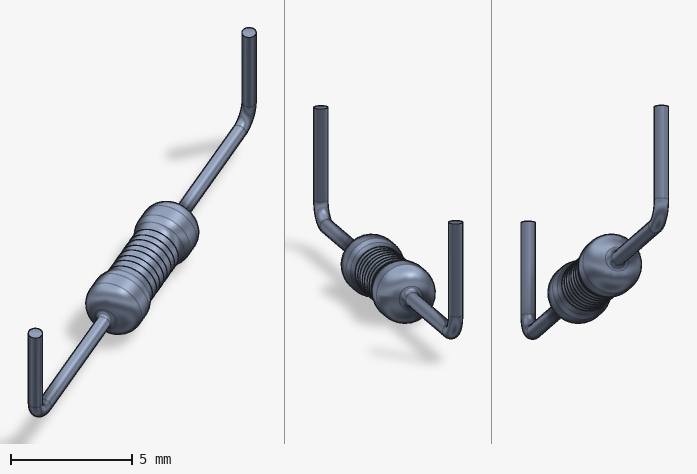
import cadquery as cq
import math

overall_length = 20.6
overall_height = 6.1

lead_diameter = 0.6
lead_radius = lead_diameter / 2
bend_radius = 1.5 * lead_diameter

head_radius = 2.5 / 2
waist_radius = 2.12 / 2
band_radius = 2.15 / 2
dome_start = 2.58
dome_radius = 0.82
head_start = 1.95
waist_end = 1.22
crease_y = (waist_end + head_start) / 2
crease_radius = 1.15
collar_end = 3.63

band_count = 4
band_width = 0.37
band_pitch = (2 * waist_end - band_width) / (band_count - 1)

lead_offset = overall_length / 2 - lead_radius
lead_top = overall_height - head_radius


def tangent_arc_radius(run, rise):
    """Radius of an arc that starts along the run and departs by rise at its end."""
    return (run**2 + rise**2) / (2 * rise)


def body_of_revolution():
    """Revolve both mirrored halves at once: waist, shoulder, head, dome and collar."""
    convex_radius = tangent_arc_radius(head_start - crease_y, head_radius - crease_radius)
    concave_radius = tangent_arc_radius(crease_y - waist_end, crease_radius - waist_radius)

    dome_center = head_radius - dome_radius
    center_gap = collar_end - dome_start
    inset = dome_center - lead_radius
    collar_radius = (center_gap**2 + inset**2 - dome_radius**2) / (2 * (dome_radius + inset))
    collar_center = lead_radius + collar_radius
    center_angle = math.atan2(center_gap, collar_center - dome_center)
    dome_end = (
        dome_center + dome_radius * math.cos(center_angle),
        dome_start + dome_radius * math.sin(center_angle),
    )

    return (
        cq.Workplane("XY")
        .moveTo(0, -collar_end)
        .lineTo(lead_radius, -collar_end)
        .radiusArc((dome_end[0], -dome_end[1]), collar_radius)
        .radiusArc((head_radius, -dome_start), -dome_radius)
        .lineTo(head_radius, -head_start)
        .radiusArc((crease_radius, -crease_y), -convex_radius)
        .radiusArc((waist_radius, -waist_end), concave_radius)
        .lineTo(waist_radius, waist_end)
        .radiusArc((crease_radius, crease_y), concave_radius)
        .radiusArc((head_radius, head_start), -convex_radius)
        .lineTo(head_radius, dome_start)
        .radiusArc(dome_end, -dome_radius)
        .radiusArc((lead_radius, collar_end), collar_radius)
        .lineTo(0, collar_end)
        .close()
        .revolve(360, (0, 0, 0), (0, 1, 0))
    )


def color_band(start):
    """Thin raised ring around the waist, starting at the given Y."""
    return cq.Workplane("XZ", origin=(0, start, 0)).circle(band_radius).extrude(-band_width)


def lead_wire():
    """One continuous wire through the body with both ends bent upward."""
    bend_start = lead_offset - bend_radius
    diagonal = bend_radius * math.sqrt(0.5)
    bend_mid_y = bend_start + diagonal
    bend_mid_z = bend_radius - diagonal
    path = (
        cq.Workplane("YZ")
        .moveTo(-lead_offset, lead_top)
        .lineTo(-lead_offset, bend_radius)
        .threePointArc((-bend_mid_y, bend_mid_z), (-bend_start, 0))
        .lineTo(bend_start, 0)
        .threePointArc((bend_mid_y, bend_mid_z), (lead_offset, bend_radius))
        .lineTo(lead_offset, lead_top)
    )
    profile = cq.Workplane("XY", origin=(0, -lead_offset, lead_top)).circle(lead_radius)
    return profile.sweep(path)


body = body_of_revolution()
for index in range(band_count):
    body = body.union(color_band(-waist_end + index * band_pitch))

result = body.union(lead_wire())